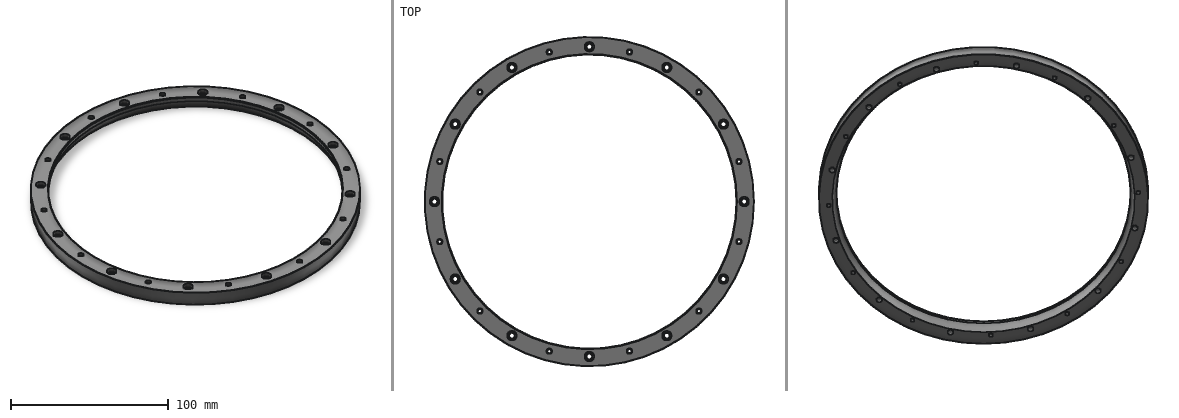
import cadquery as cq

outer_diameter = 208.5
inner_diameter = 186.0
thickness = 10.0
outer_chamfer = 0.2
inner_chamfer = 0.5

cone_height = 6.7
cone_bottom_diameter = 191.5

bolt_circle_diameter = 196.0
holes_per_set = 12
hole_pitch_angle = 360.0 / holes_per_set
bolt_hole_diameter = 3.5
counterbore_diameter = 6.0
counterbore_depth = 3.3
small_hole_diameter = 2.5
small_counterbore_diameter = 3.5
small_counterbore_depth = 5.0


def make_ring():
    """Revolve the ring cross-section, including its chamfers and conical bore."""
    outer_radius = outer_diameter / 2
    inner_radius = inner_diameter / 2
    section = [
        (cone_bottom_diameter / 2, 0),
        (outer_radius - outer_chamfer, 0),
        (outer_radius, outer_chamfer),
        (outer_radius, thickness - outer_chamfer),
        (outer_radius - outer_chamfer, thickness),
        (inner_radius + inner_chamfer, thickness),
        (inner_radius, thickness - inner_chamfer),
        (inner_radius, cone_height),
    ]
    return cq.Workplane("XZ").polyline(section).close().revolve(360, (0, 0, 0), (0, 1, 0))


def hole_positions(body, start_angle):
    """Place evenly spaced hole centres on the top face."""
    return (
        body.faces(">Z")
        .workplane(origin=(0, 0, thickness))
        .polarArray(bolt_circle_diameter / 2, start_angle, 360, holes_per_set)
    )


ring = make_ring()
ring = hole_positions(ring, 0).cboreHole(bolt_hole_diameter, counterbore_diameter, counterbore_depth)
result = hole_positions(ring, hole_pitch_angle / 2).cboreHole(
    small_hole_diameter, small_counterbore_diameter, small_counterbore_depth
)